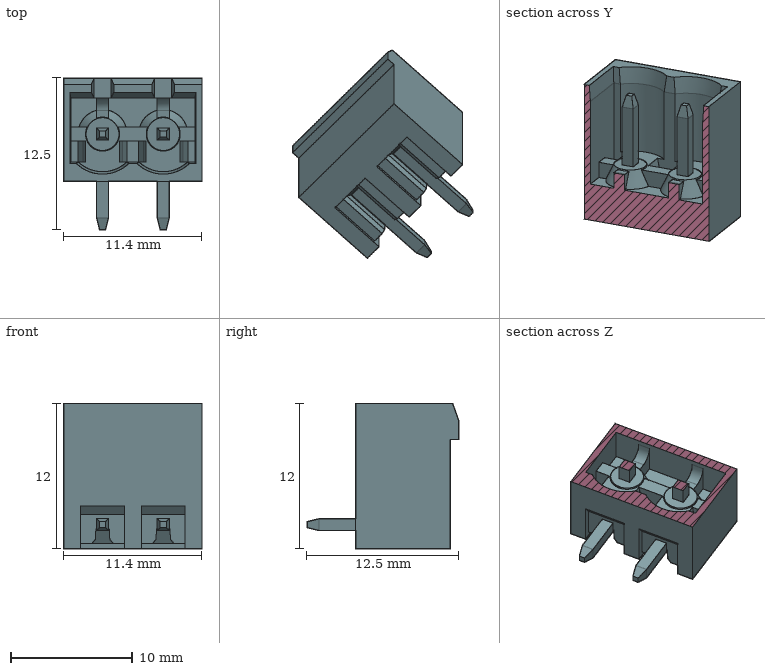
import cadquery as cq


width = 11.4
height = 12.0
body_depth = 7.8
lip_depth = 8.5
lip_top_depth = 8.0
lip_bottom = 9.0
rim_height = 1.4
rim_base = height - rim_height

pitch = 5.0
pole_xs = [-pitch / 2, pitch / 2]
pole_y = 3.9

mouth_half_width = 5.2
mouth_front = 1.48
mouth_back = 7.34
cavity_half_width = 5.1
cavity_front = 1.6
cavity_back = 6.86
front_floor = 2.0
back_floor = 3.25

scallop_y = 3.7
scallop_mouth_radius = 3.1
scallop_radius = 2.9

keyway_top_width = 1.85
keyway_bottom_width = 1.4

support_top = 4.6
support_top_half_width = 1.4
support_base_half_width = 2.02
support_knee_half_width = 1.63
support_knee_z = 3.3
collar_rise = 0.1
bar_front = 3.35
bar_back = 4.48
rib_fillet = 1.0

pin_size = 1.0
pin_tip_size = 0.5
pin_taper = 1.0
pin_top = 10.85
pin_leg_z = 2.0
pin_leg_reach = 4.0
rib_width = pin_size

window_width = 3.6
window_depth = 0.5
window_top = 3.52
window_ceiling_low = 2.82
hollow_height = 0.43
hollow_back = 5.0
channel_half_width = 0.55
channel_waist_half_width = 0.6
channel_flare_half_width = 0.9
channel_waist_z = 0.78
channel_top = 1.65
channel_back = 4.4


def box(x_min, x_max, y_min, y_max, z_min, z_max):
    size = (x_max - x_min, y_max - y_min, z_max - z_min)
    return cq.Workplane("XY").box(*size, centered=False).translate((x_min, y_min, z_min))


def prism_along_x(points_yz, x_center, length):
    profile = cq.Workplane("YZ").polyline(points_yz).close()
    return profile.extrude(length / 2, both=True).translate((x_center, 0, 0))


def cone(x, y, z_bottom, z_top, bottom_radius, top_radius):
    solid = cq.Solid.makeCone(bottom_radius, top_radius, z_top - z_bottom, cq.Vector(x, y, z_bottom))
    return cq.Workplane(obj=solid)


def make_housing():
    side_profile = [
        (0, 0),
        (body_depth, 0),
        (body_depth, lip_bottom),
        (lip_depth, lip_bottom),
        (lip_depth, rim_base),
        (lip_top_depth, height),
        (0, height),
    ]
    return prism_along_x(side_profile, 0, width)


def make_cavity():
    """Plug cavity, deepened in front of and behind a crossbar at support height."""
    front_well = box(-cavity_half_width, cavity_half_width, cavity_front, bar_front, front_floor, rim_base)
    back_well = box(-cavity_half_width, cavity_half_width, bar_back, cavity_back, back_floor, rim_base)
    upper_well = box(-cavity_half_width, cavity_half_width, cavity_front, cavity_back, support_top, rim_base)
    mouth = (
        cq.Workplane("XY", origin=(0, (cavity_front + cavity_back) / 2, rim_base))
        .rect(2 * cavity_half_width, cavity_back - cavity_front)
        .workplane(offset=rim_height)
        .center(0, (mouth_front + mouth_back - cavity_front - cavity_back) / 2)
        .rect(2 * mouth_half_width, mouth_back - mouth_front)
        .loft(ruled=True)
    )
    return upper_well.union(front_well).union(back_well).union(mouth)


def make_scallop(x):
    wall = cq.Workplane("XY", origin=(x, scallop_y, support_top)).circle(scallop_radius)
    wall = wall.extrude(rim_base - support_top)
    flare = cone(x, scallop_y, rim_base, height, scallop_radius, scallop_mouth_radius)
    front_half = box(-cavity_half_width, cavity_half_width, 0, scallop_y, support_top, height)
    return wall.union(flare).intersect(front_half)


def make_keyway(x):
    section = [
        (x - keyway_bottom_width / 2, rim_base),
        (x + keyway_bottom_width / 2, rim_base),
        (x + keyway_top_width / 2, height),
        (x - keyway_top_width / 2, height),
    ]
    profile = cq.Workplane("XZ", origin=(0, cavity_back, 0)).polyline(section).close()
    return profile.extrude(cavity_back - lip_depth)


def make_support(x):
    """Flared block from the front wall to the crossbar, with a conical back."""
    right_flank = [
        (support_base_half_width, front_floor),
        (support_knee_half_width, support_knee_z),
        (support_top_half_width, support_top),
    ]
    left_flank = [(-half, z) for half, z in reversed(right_flank)]
    block = cq.Workplane("XZ", origin=(x, cavity_front, 0)).polyline(right_flank + left_flank).close()
    block = block.extrude(cavity_front - bar_front)
    slope = (support_base_half_width - support_top_half_width) / (support_top - back_floor)
    collar_radius = support_top_half_width - slope * collar_rise
    collar_top = support_top + collar_rise
    collar = cone(x, pole_y, back_floor, collar_top, support_base_half_width, collar_radius)
    reach = support_base_half_width
    hidden_front = box(x - reach, x + reach, pole_y - reach, bar_front, back_floor, support_top)
    return block.union(collar.cut(hidden_front))


def make_rib(x):
    """Narrow rib from the support to the back wall, swept up into the wall."""
    bend = cavity_back - rib_fillet
    bend_mid = rib_fillet * 0.5 ** 0.5
    return (
        cq.Workplane("YZ")
        .moveTo(pole_y, back_floor)
        .lineTo(cavity_back, back_floor)
        .lineTo(cavity_back, support_top + rib_fillet)
        .threePointArc((bend + bend_mid, support_top + rib_fillet - bend_mid), (bend, support_top))
        .lineTo(pole_y, support_top)
        .close()
        .extrude(rib_width / 2, both=True)
        .translate((x, 0, 0))
    )


def make_window(x):
    section = [
        (0, 0),
        (window_depth, 0),
        (window_depth, window_ceiling_low),
        (0, window_top),
    ]
    return prism_along_x(section, x, window_width)


def make_hollow(x):
    """Hollow under the housing, with a flared channel rising below the pin leg."""
    half_width = window_width / 2
    hollow = box(x - half_width, x + half_width, 0, hollow_back, 0, hollow_height)
    right_edge = [
        (channel_flare_half_width, hollow_height),
        (channel_waist_half_width, channel_waist_z),
        (channel_half_width, channel_top),
    ]
    left_edge = [(-half, z) for half, z in reversed(right_edge)]
    channel = cq.Workplane("XZ", origin=(x, 0, 0)).polyline(right_edge + left_edge).close()
    channel = channel.extrude(-hollow_back)
    leaning_back = prism_along_x(
        [(0, hollow_height), (hollow_back, hollow_height), (channel_back, channel_top), (0, channel_top)],
        x,
        window_width,
    )
    return hollow.union(channel.intersect(leaning_back))


def make_tip(plane):
    """Tapered pin end pointing along the normal of the given plane."""
    return (
        cq.Workplane(plane)
        .rect(pin_size, pin_size)
        .workplane(offset=pin_taper)
        .rect(pin_tip_size, pin_tip_size)
        .loft(ruled=True)
    )


def make_pin(x):
    half = pin_size / 2
    shoulder_z = pin_top - pin_taper
    shoulder_y = pin_taper - pin_leg_reach
    leg_bottom = pin_leg_z - half
    post = box(x - half, x + half, pole_y - half, pole_y + half, leg_bottom, shoulder_z)
    leg = box(x - half, x + half, shoulder_y, pole_y + half, leg_bottom, pin_leg_z + half)
    post_tip = make_tip("XY").translate((x, pole_y, shoulder_z))
    leg_tip = make_tip("XZ").translate((x, shoulder_y, pin_leg_z))
    return post.union(leg).union(post_tip).union(leg_tip)


result = make_housing().cut(make_cavity())
for pole_x in pole_xs:
    result = result.cut(make_scallop(pole_x)).cut(make_keyway(pole_x))
    result = result.union(make_support(pole_x)).union(make_rib(pole_x))
    result = result.cut(make_window(pole_x)).cut(make_hollow(pole_x))
    result = result.union(make_pin(pole_x))